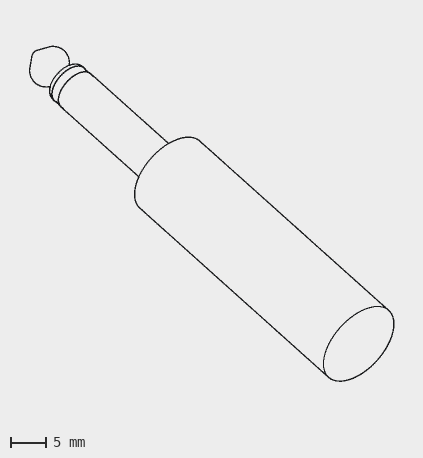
import cadquery as cq
import math

total_length = 73.9
sleeve_radius = 12.8 / 2
shaft_radius = 6.35 / 2
shoulder_x = 30.8

cone_angle = math.radians(45)
nose_radius = 1.1
cone_end_x = 2.3

ball_radius = 3.1
ball_peak_x = 3.5
ball_end_x = 4.7
ball_end_radius = 2.6

neck_radius = 2.15
neck_start_x = 5.4
neck_end_x = 6.35
flare_mid_x = 7.1
flare_mid_radius = (neck_radius + shaft_radius) / 2
flare_end_x = 7.9

collar_radius = 3.1
shaft_start_x = 9.4

nose_end_x = nose_radius * (1 - math.sin(cone_angle))
nose_end_radius = nose_radius * math.cos(cone_angle)
nose_mid_angle = (math.pi / 2 - cone_angle) / 2
nose_mid_x = nose_radius * (1 - math.cos(nose_mid_angle))
nose_mid_radius = nose_radius * math.sin(nose_mid_angle)
cone_end_radius = nose_end_radius + (cone_end_x - nose_end_x) * math.tan(cone_angle)

profile = cq.Workplane("XY").moveTo(0, 0)

profile = (
    profile.threePointArc((nose_mid_x, nose_mid_radius), (nose_end_x, nose_end_radius))
    .lineTo(cone_end_x, cone_end_radius)
    .threePointArc((ball_peak_x, ball_radius), (ball_end_x, ball_end_radius))
)

neck_points = [
    (neck_start_x, neck_radius),
    (neck_end_x, neck_radius),
    (flare_mid_x, flare_mid_radius),
    (flare_end_x, shaft_radius),
]
ball_end_direction = (1, -1)
axial_direction = (1, 0)
profile = profile.spline(
    neck_points,
    tangents=[ball_end_direction, axial_direction],
    includeCurrent=True,
)

profile = (
    profile.lineTo(flare_end_x, collar_radius)
    .lineTo(shaft_start_x, collar_radius)
    .lineTo(shaft_start_x, shaft_radius)
    .lineTo(shoulder_x, shaft_radius)
    .lineTo(shoulder_x, sleeve_radius)
    .lineTo(total_length, sleeve_radius)
    .lineTo(total_length, 0)
    .close()
)

result = profile.revolve(360, (0, 0, 0), (1, 0, 0))